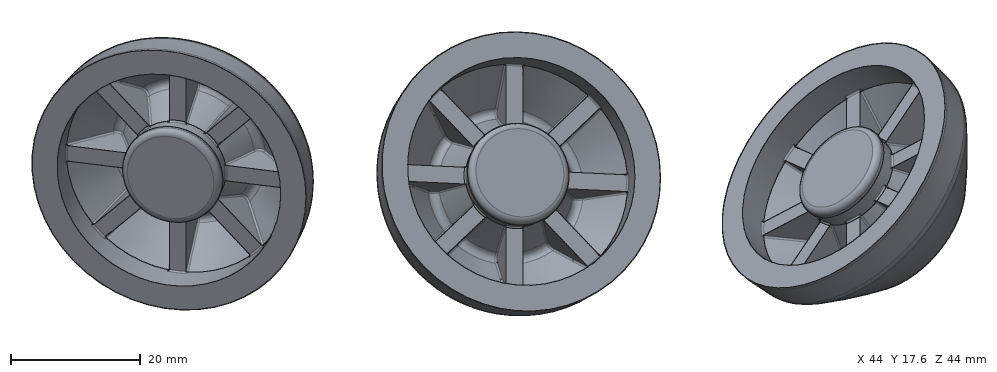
import cadquery as cq
import math


rim_radius = 22.0
height = 17.6
rim_band = 0.5
skirt_top_radius = 21.6
skirt_top = 5.8
crown_radius = 11.9
flank_bulge = 0.2
shoulder_fillet = 2.2
crown_fillet = 2.65

bore_radius = 17.95
bore_depth = 5.15
trough_radius = 11.25
trough_depth = 12.4
trough_fillet = 1.05

cap_radius = 7.95
cap_front = 0.95
cap_back = 2.45
cap_fillet = 1.0
neck_radius = 7.7
hub_shoulder = 5.1

rib_count = 8
rib_width = 2.65
rib_front = 4.9
rib_root_fillet = 0.25

tolerance = 0.0005


def revolve_about_y(outline):
    return outline.close().revolve(360, (0, 0, 0), (0, 1, 0))


def fillet_ring(body, depth, radius):
    """Round the circular edges that lie at the given depth along Y."""
    slab = cq.selectors.BoxSelector(
        (-rim_radius, depth - tolerance, -rim_radius),
        (rim_radius, depth + tolerance, rim_radius),
    )
    return body.edges("%CIRCLE").edges(slab).fillet(radius)


def make_shell():
    shell = revolve_about_y(
        cq.Workplane("XY")
        .lineTo(rim_radius, 0)
        .lineTo(rim_radius, rim_band)
        .lineTo(skirt_top_radius, skirt_top)
        .sagittaArc((crown_radius, height), -flank_bulge)
        .lineTo(0, height)
    )
    shell = fillet_ring(shell, height, crown_fillet)
    return fillet_ring(shell, skirt_top, shoulder_fillet)


def make_cavity():
    """Space between the outer wall and the hub, before the ribs fill part of it."""
    cavity = revolve_about_y(
        cq.Workplane("XY")
        .lineTo(bore_radius, 0)
        .lineTo(bore_radius, bore_depth)
        .lineTo(trough_radius, trough_depth)
        .lineTo(neck_radius, hub_shoulder)
        .lineTo(neck_radius, cap_back)
        .lineTo(cap_radius, cap_back)
        .lineTo(cap_radius, cap_front)
        .lineTo(0, cap_front)
    )
    cavity = fillet_ring(cavity, trough_depth, trough_fillet)
    return fillet_ring(cavity, cap_front, cap_fillet)


def make_ribs():
    """Bars across the full diameter, each one forming two opposite ribs."""
    ribs = cq.Workplane("XY")
    for i in range(rib_count // 2):
        bar = (
            cq.Workplane("XY")
            .box(2 * rim_radius, height - rib_front, rib_width)
            .translate((0, (height + rib_front) / 2, 0))
            .rotate((0, 0, 0), (0, 1, 0), i * 360 / rib_count)
        )
        ribs = ribs.union(bar)
    return ribs


def is_rib_root(edge):
    """True for an edge where a rib's side or front face runs into the cavity wall."""
    points = [edge.positionAt(t) for t in (0.0, 0.5, 1.0)]
    if all(abs(p.y - rib_front) < tolerance for p in points):
        return edge.geomType() == "CIRCLE"
    for i in range(rib_count):
        angle = 2 * math.pi * i / rib_count
        offsets = [p.z * math.cos(angle) - p.x * math.sin(angle) for p in points]
        if all(abs(offset - rib_width / 2) < tolerance for offset in offsets):
            return True
    return False


wheel = make_shell().cut(make_cavity().cut(make_ribs()))
rib_roots = [edge for edge in wheel.edges().vals() if is_rib_root(edge)]
result = wheel.newObject(rib_roots).fillet(rib_root_fillet)